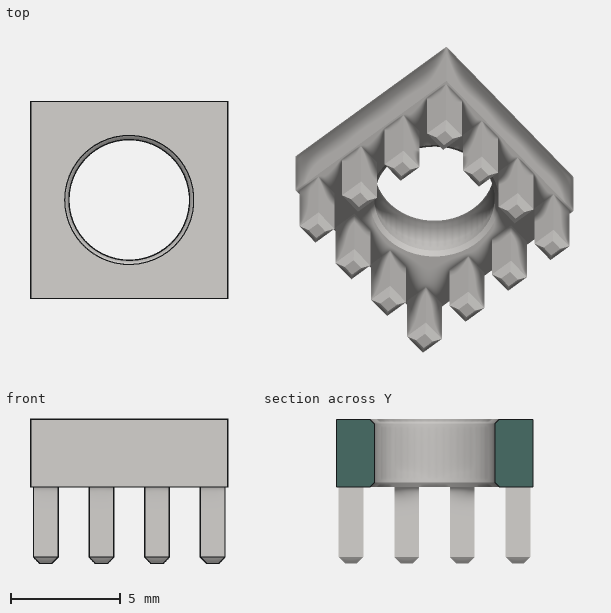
import cadquery as cq

block_side = 9.0
block_height = 3.1
total_height = 6.6

hole_diameter = 5.5
hole_chamfer = 0.2

legs_per_side = 4
leg_pitch = 2.54
leg_width = 1.13
leg_length = total_height - block_height
tip_chamfer = 0.3


def make_block():
    block = cq.Workplane("XY").box(block_side, block_side, block_height, centered=(True, True, False))
    block = block.faces(">Z").workplane().hole(hole_diameter)
    return block.edges("%CIRCLE").chamfer(hole_chamfer)


def leg_centers():
    """Leg positions on the outer ring of the square grid."""
    last = legs_per_side - 1
    centers = []
    for column in range(legs_per_side):
        for row in range(legs_per_side):
            if column in (0, last) or row in (0, last):
                centers.append(((column - last / 2) * leg_pitch, (row - last / 2) * leg_pitch))
    return centers


def make_legs():
    legs = cq.Workplane("XY").pushPoints(leg_centers()).rect(leg_width, leg_width).extrude(-leg_length)
    return legs.faces("<Z").chamfer(tip_chamfer)


result = make_block().union(make_legs())